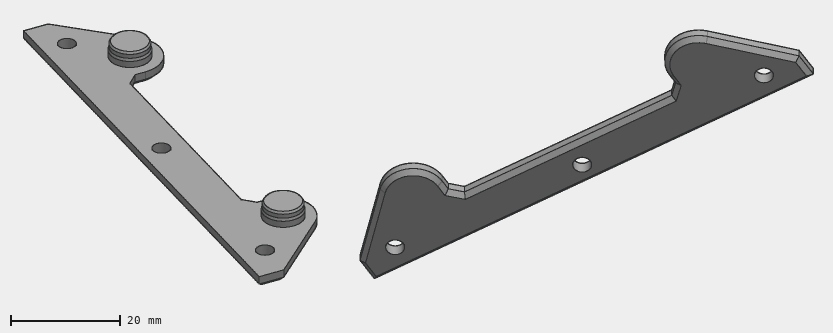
import cadquery as cq
import math

length = 93.9
depth = 19.6
plate_thickness = 2.5
bottom_chamfer = 0.9
end_height = 5.1
bar_depth = 9.1
corner_cut = 2.2
ear_radius = 6.2
ear_x = 30.5
ear_y = depth - ear_radius

hole_diameter = 3.5
end_hole_x = 39.4
end_hole_y = 5.1
middle_hole_y = 4.1

total_height = 5.7
stud_height = total_height - plate_thickness
stud_radius = 4.0
head_radius = 3.85
stud_top_radius = 3.6
shoulder_bottom = 1.3
shoulder_top = 1.9
stud_rim = 2.7


def point_on_ear(angle):
    """Point on the right ear's arc at an angle in radians."""
    return (ear_x + ear_radius * math.cos(angle), ear_y + ear_radius * math.sin(angle))


def mirrored(point):
    return (-point[0], point[1])


def make_plate():
    half_length = length / 2
    ear_inner_x = ear_x - ear_radius

    corner_dx = half_length - ear_x
    corner_dy = end_height - ear_y
    corner_distance = math.hypot(corner_dx, corner_dy)
    tangent_angle = math.atan2(corner_dy, corner_dx) + math.acos(ear_radius / corner_distance)

    tangent_point = point_on_ear(tangent_angle)
    ear_middle = point_on_ear((tangent_angle + math.pi) / 2)
    ear_end = (ear_inner_x, ear_y)
    cut_top = (ear_inner_x, bar_depth + corner_cut)
    cut_bottom = (ear_inner_x - corner_cut, bar_depth)

    outline = (
        cq.Workplane("XY")
        .moveTo(-half_length, 0)
        .lineTo(half_length, 0)
        .lineTo(half_length, end_height)
        .lineTo(*tangent_point)
        .threePointArc(ear_middle, ear_end)
        .lineTo(*cut_top)
        .lineTo(*cut_bottom)
        .lineTo(*mirrored(cut_bottom))
        .lineTo(*mirrored(cut_top))
        .lineTo(*mirrored(ear_end))
        .threePointArc(mirrored(ear_middle), mirrored(tangent_point))
        .lineTo(-half_length, end_height)
        .close()
    )
    return outline.extrude(plate_thickness).faces("<Z").edges().chamfer(bottom_chamfer)


def make_stud(x):
    """Round stud with a steep conical shoulder, a narrower head and a bevelled top."""
    profile = [
        (0, 0),
        (stud_radius, 0),
        (stud_radius, shoulder_bottom),
        (head_radius, shoulder_top),
        (head_radius, stud_rim),
        (stud_top_radius, stud_height),
        (0, stud_height),
    ]
    stud = cq.Workplane("XZ").polyline(profile).close().revolve(360, (0, 0), (0, 1))
    return stud.translate((x, ear_y, plate_thickness))


result = make_plate()
for stud_x in (-ear_x, ear_x):
    result = result.union(make_stud(stud_x))

hole_centres = [(-end_hole_x, end_hole_y), (0, middle_hole_y), (end_hole_x, end_hole_y)]
holes = cq.Workplane("XY").pushPoints(hole_centres).circle(hole_diameter / 2).extrude(plate_thickness)
result = result.cut(holes)